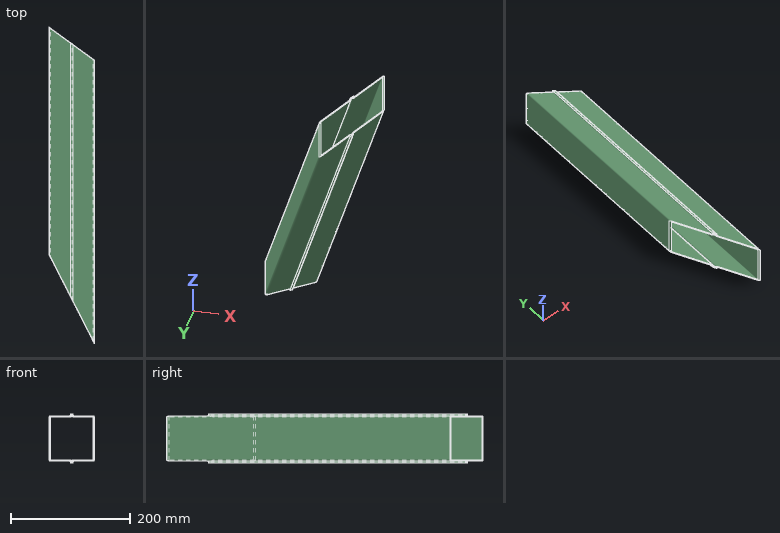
import cadquery as cq
import math

tube_width = 76.2
overall_length = 530.92
wall = 2.032
inner_bend_radius = 1.016
outer_bend_radius = wall + inner_bend_radius

rib_height = 3.175
rib_width = 2 * wall

front_cut_angle = 63.0
back_cut_angle = 36.0

half_width = tube_width / 2
half_length = overall_length / 2
bore_width = tube_width - 2 * wall
overall_height = tube_width + 2 * rib_height
front_setback = tube_width * math.tan(math.radians(front_cut_angle))
back_setback = tube_width * math.tan(math.radians(back_cut_angle))


def square_bar(width, corner_radius):
    """Solid square bar along Y with its long edges rounded."""
    return cq.Workplane("XY").box(width, overall_length, width).edges("|Y").fillet(corner_radius)


def flared_strip(base_z, tip_z, tip_half_width, flare_radius):
    """Strip along Y standing on the plane z = base_z, widened at its foot by concave arcs.

    Its sides, tip_half_width either side of the centre, curve out to meet the plane tangentially.
    """
    foot = tip_half_width + flare_radius
    flare_top = base_z + flare_radius
    arc_offset = flare_radius * math.sqrt(0.5)
    arc_x = foot - arc_offset
    arc_z = flare_top - arc_offset
    profile = (
        cq.Workplane("XZ")
        .moveTo(-foot, base_z)
        .threePointArc((-arc_x, arc_z), (-tip_half_width, flare_top))
    )
    if tip_half_width > 0:
        profile = profile.lineTo(-tip_half_width, tip_z).lineTo(tip_half_width, tip_z)
        profile = profile.lineTo(tip_half_width, flare_top)
    profile = profile.threePointArc((arc_x, arc_z), (foot, base_z)).close()
    return profile.extrude(half_length, both=True)


def with_both_strips(bar, strip):
    """Add a strip to the top of a bar and its mirror image to the bottom."""
    return bar.union(strip).union(strip.mirror("XY"))


def seamed_tube():
    """Square-ended tube with seam ribs outside and the matching bend grooves inside."""
    rib = flared_strip(half_width, half_width + rib_height, rib_width / 2, inner_bend_radius)
    bore_top = bore_width / 2
    groove = flared_strip(bore_top, bore_top + outer_bend_radius, 0, outer_bend_radius)
    outside = with_both_strips(square_bar(tube_width, outer_bend_radius), rib)
    inside = with_both_strips(square_bar(bore_width, inner_bend_radius), groove)
    return outside.cut(inside)


def mitre_envelope():
    """Plan outline of the part: the -X side is cut back in front, the +X side at the back."""
    outline = [
        (-half_width, half_length),
        (half_width, half_length - back_setback),
        (half_width, -half_length),
        (-half_width, -half_length + front_setback),
    ]
    return cq.Workplane("XY").polyline(outline).close().extrude(overall_height / 2, both=True)


result = seamed_tube().intersect(mitre_envelope())